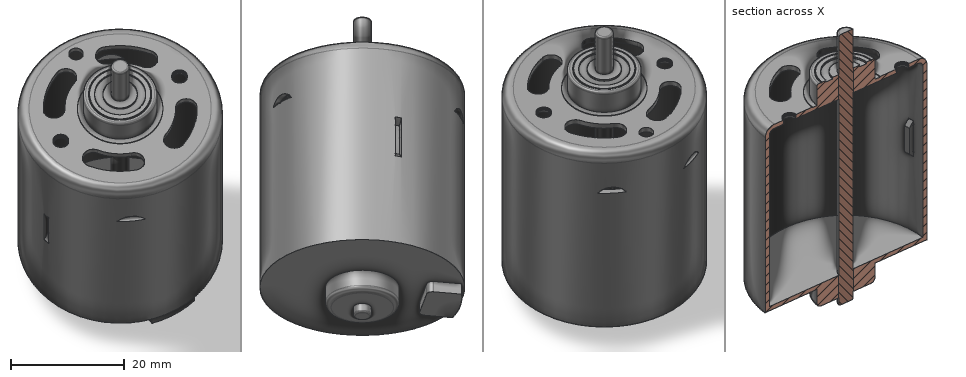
import cadquery as cq
import math


can_diameter = 36.0
can_radius = can_diameter / 2
can_height = 40.05
wall = 1.0
cavity_radius = can_radius - wall
can_edge_fillet = 2.0

boss_diameter = 13.0
top_boss_height = 4.45
top_boss_fillet = 0.4
bottom_boss_height = 4.0
bottom_boss_fillet = 1.0
boss_recess_diameter = 15.0
boss_recess_depth = 0.1

bearing_diameter = 11.1
bearing_face_diameter = 10.75
shield_outer_diameter = 9.0
shield_inner_diameter = 6.05
shield_depth = 0.35

shaft_diameter = 3.15
shaft_length = 58.7
shaft_below_boss = 1.7
shaft_end_fillet = 0.32

vent_path_radius = 11.6
vent_width = 3.75
vent_angle = 39.5
vent_half_sweep = 18

screw_hole_diameter = 2.5
screw_hole_offset = 12.5
thread_diameter = 2.75
thread_groove_width = 0.205
thread_pitch = 0.4
thread_groove_count = 2
locating_hole_diameter = 2.5
locating_hole_offset = 14.0

window_angle = 27.3
window_angles = (180 - window_angle, 180 + window_angle, -window_angle)
window_radius = 2.9
window_height = 1.4
window_sill_height = 31.05

lug_angle = -79.7
lug_width = 1.2
lug_length = 7.75
lug_middle_height = 21.0
lug_depth = 1.05

bracket_angle = 130
bracket_width = 2.05
bracket_outer_radius = 11.05
bracket_length = 3.5
bracket_height = 2.35

terminal_inner_x = 10.85
terminal_outer_radius = 17.5
terminal_width = 9.0
terminal_height = 2.05
terminal_fillet = 1.05

boss_top = can_height + top_boss_height
plate_underside = can_height - wall
shaft_bottom = -bottom_boss_height - shaft_below_boss


def cylinder(diameter, bottom, height):
    """Cylinder on the shaft axis."""
    return cq.Workplane("XY", origin=(0, 0, bottom)).circle(diameter / 2).extrude(height)


def ring(outer_diameter, inner_diameter, bottom, height):
    """Flat ring on the shaft axis."""
    profile = cq.Workplane("XY", origin=(0, 0, bottom)).circle(outer_diameter / 2).circle(inner_diameter / 2)
    return profile.extrude(height)


def polar(radius, angle):
    """Point at a radius and an angle in degrees."""
    turn = math.radians(angle)
    return (radius * math.cos(turn), radius * math.sin(turn))


def make_can():
    outside = cylinder(can_diameter, 0, can_height).faces(">Z").edges().fillet(can_edge_fillet)
    cavity = cylinder(2 * cavity_radius, wall, can_height - 2 * wall)
    cavity = cavity.faces(">Z").edges().fillet(can_edge_fillet - wall)
    recess = ring(boss_recess_diameter, boss_diameter, can_height - boss_recess_depth, boss_recess_depth)
    return outside.cut(cavity).cut(recess)


def make_bearing_bevel():
    """Groove left between the bearing's 45 degree rim bevel and its straight seat."""
    seat_radius = bearing_diameter / 2
    face_radius = bearing_face_diameter / 2
    groove_bottom = boss_top - (seat_radius - face_radius)
    return (
        cq.Workplane("XZ")
        .polyline([(face_radius, boss_top), (seat_radius, boss_top), (seat_radius, groove_bottom)])
        .close()
        .revolve(360, (0, 0, 0), (0, 1, 0))
    )


def make_top_boss():
    boss = cylinder(boss_diameter, plate_underside, top_boss_height + wall)
    boss = boss.faces(">Z").edges().fillet(top_boss_fillet)
    shield = ring(shield_outer_diameter, shield_inner_diameter, boss_top - shield_depth, shield_depth)
    return boss.cut(make_bearing_bevel()).cut(shield)


def make_bottom_boss():
    boss = cylinder(boss_diameter, -bottom_boss_height, bottom_boss_height + wall)
    return boss.faces("<Z").edges().fillet(bottom_boss_fillet)


def vent_tip(angle, side):
    """Tip of a vent's round end, square to the radius at the given angle."""
    center_x, center_y = polar(vent_path_radius, angle)
    step_x, step_y = polar(vent_width / 2, angle + side)
    return (center_x + step_x, center_y + step_y)


def make_vent(angle):
    """Arc slot with round ends, cut through the top plate."""
    inner = vent_path_radius - vent_width / 2
    outer = vent_path_radius + vent_width / 2
    start = angle - vent_half_sweep
    end = angle + vent_half_sweep
    return (
        cq.Workplane("XY", origin=(0, 0, plate_underside))
        .moveTo(*polar(outer, start))
        .threePointArc(polar(outer, angle), polar(outer, end))
        .threePointArc(vent_tip(end, 90), polar(inner, end))
        .threePointArc(polar(inner, angle), polar(inner, start))
        .threePointArc(vent_tip(start, -90), polar(outer, start))
        .close()
        .extrude(wall)
    )


def make_plate_hole(x, y, diameter, bottom=plate_underside, height=wall):
    return cq.Workplane("XY", origin=(x, y, bottom)).circle(diameter / 2).extrude(height)


def make_screw_hole(y):
    """Hole through the top plate with ring grooves for its thread."""
    hole = make_plate_hole(0, y, screw_hole_diameter)
    for turn in range(thread_groove_count):
        level = can_height - turn * thread_pitch - thread_groove_width
        hole = hole.union(make_plate_hole(0, y, thread_diameter, level, thread_groove_width))
    return hole


def make_window(angle):
    """Half-moon cutter through the can wall, flat side down."""
    cut_depth = 3 * wall
    half_width = math.sqrt(window_radius**2 - (window_radius - window_height) ** 2)
    return (
        cq.Workplane("YZ", origin=(can_radius - cut_depth, 0, window_sill_height))
        .moveTo(-half_width, 0)
        .threePointArc((0, window_height), (half_width, 0))
        .close()
        .extrude(2 * cut_depth)
        .rotate((0, 0, 0), (0, 0, 1), angle)
    )


def make_lug_prism(outer_radius, inner_radius, outer_length):
    """Radial prism with ends sloped at 45 degrees, narrowing inward."""
    half_outer = outer_length / 2
    half_inner = half_outer - (outer_radius - inner_radius)
    return (
        cq.Workplane("XZ", origin=(0, lug_width / 2, lug_middle_height))
        .polyline([
            (outer_radius, -half_outer),
            (outer_radius, half_outer),
            (inner_radius, half_inner),
            (inner_radius, -half_inner),
        ])
        .close()
        .extrude(lug_width)
        .rotate((0, 0, 0), (0, 0, 1), lug_angle)
    )


def press_lug(can):
    """Push a strip of the can wall inward."""
    pocket = make_lug_prism(can_radius, can_radius - lug_depth, lug_length)
    strip = make_lug_prism(can_radius - wall / 2, can_radius - lug_depth - wall, lug_length + wall)
    return can.union(strip).cut(pocket)


def make_bracket():
    return (
        cq.Workplane("XY", origin=(0, 0, wall))
        .center(bracket_outer_radius - bracket_length / 2, 0)
        .rect(bracket_length, bracket_width)
        .extrude(bracket_height)
        .rotate((0, 0, 0), (0, 0, 1), bracket_angle)
    )


def make_terminal_block():
    half_width = terminal_width / 2
    outer_x = math.sqrt(terminal_outer_radius**2 - half_width**2)
    block = (
        cq.Workplane("XY")
        .moveTo(terminal_inner_x, -half_width)
        .lineTo(outer_x, -half_width)
        .threePointArc((terminal_outer_radius, 0), (outer_x, half_width))
        .lineTo(terminal_inner_x, half_width)
        .close()
        .extrude(-terminal_height)
    )
    return block.faces("<X").edges("|Z").fillet(terminal_fillet)


def make_housing():
    housing = make_can().union(make_top_boss()).union(make_bottom_boss())
    for angle in (vent_angle, 180 - vent_angle, 180 + vent_angle, -vent_angle):
        housing = housing.cut(make_vent(angle))
    for y in (-screw_hole_offset, screw_hole_offset):
        housing = housing.cut(make_screw_hole(y))
    housing = housing.cut(make_plate_hole(-locating_hole_offset, 0, locating_hole_diameter))
    for angle in window_angles:
        housing = housing.cut(make_window(angle))
    housing = press_lug(housing)
    housing = housing.union(make_bracket()).union(make_terminal_block())
    return housing.cut(cylinder(shaft_diameter, shaft_bottom, shaft_length)).solids()


def make_shaft():
    return cylinder(shaft_diameter, shaft_bottom, shaft_length).edges().fillet(shaft_end_fillet)


housing = make_housing()
shaft = make_shaft()
result = cq.Compound.makeCompound([housing.val(), shaft.val()])